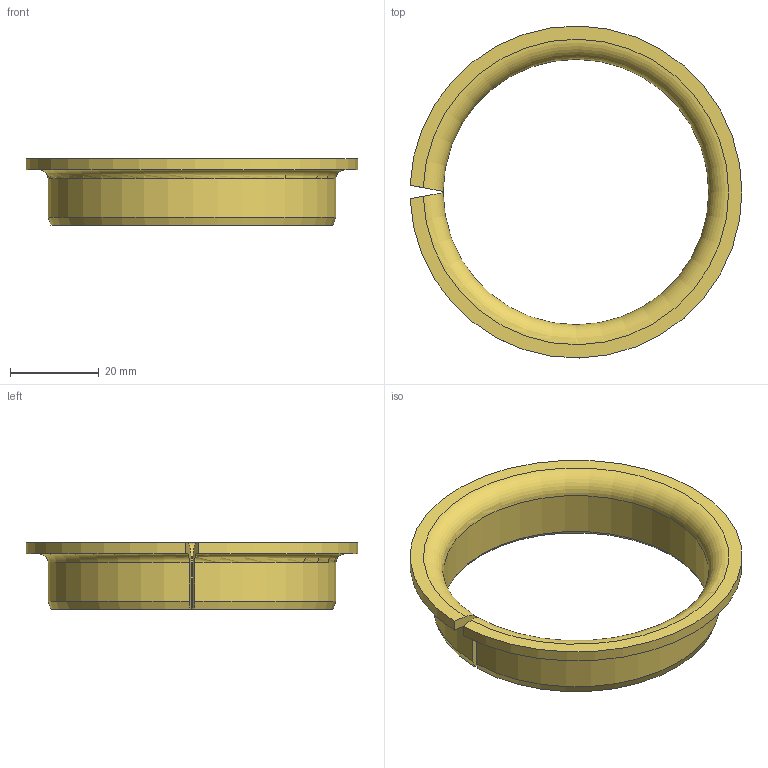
import cadquery as cq
import math

inner_radius = 30.0
wall = 2.5
flange_radius = 37.5
height = 15.0
root_fillet = 2.0

lead_in_height = 1.8
lead_in_angle = 20.0
bore_chamfer_height = 0.6
bore_chamfer_angle = 30.0

wedge_angle = 20.0
wedge_point_depth = 1.0
cutter_overshoot = 1.0

barrel_radius = inner_radius + wall
flange_bottom = height - wall
lead_in_width = lead_in_height * math.tan(math.radians(lead_in_angle))
bore_chamfer_width = bore_chamfer_height * math.tan(math.radians(bore_chamfer_angle))

mouth_radius = root_fillet + wall
bend_center_r = barrel_radius + root_fillet
bend_center_z = flange_bottom - root_fillet


def bend_midpoint(bend_radius):
    """Middle of the quarter bend with the given radius, as (r, z)."""
    offset = bend_radius * math.sqrt(0.5)
    return (bend_center_r - offset, bend_center_z + offset)


def sleeve():
    """Full ring: the wall section revolved about Z, its seam turned to the -X side."""
    section = (
        cq.Workplane("XZ")
        .moveTo(inner_radius, bore_chamfer_height)
        .lineTo(inner_radius + bore_chamfer_width, 0)
        .lineTo(barrel_radius - lead_in_width, 0)
        .lineTo(barrel_radius, lead_in_height)
        .lineTo(barrel_radius, bend_center_z)
        .threePointArc(bend_midpoint(root_fillet), (bend_center_r, flange_bottom))
        .lineTo(flange_radius, flange_bottom)
        .lineTo(flange_radius, height)
        .lineTo(bend_center_r, height)
        .threePointArc(bend_midpoint(mouth_radius), (inner_radius, bend_center_z))
        .close()
    )
    full_turn = 360
    ring = section.revolve(full_turn, (0, 0, 0), (0, 1, 0))
    return ring.rotate((0, 0, 0), (0, 0, 1), full_turn / 2)


def split_wedge():
    """Wedge through the full height on the -X side, opening towards the rim."""
    point_radius = inner_radius - wedge_point_depth
    outer_radius = flange_radius + cutter_overshoot
    half_gap = (outer_radius - point_radius) * math.tan(math.radians(wedge_angle / 2))
    return (
        cq.Workplane("XY")
        .moveTo(-point_radius, 0)
        .lineTo(-outer_radius, half_gap)
        .lineTo(-outer_radius, -half_gap)
        .close()
        .extrude(height)
    )


result = sleeve().cut(split_wedge())